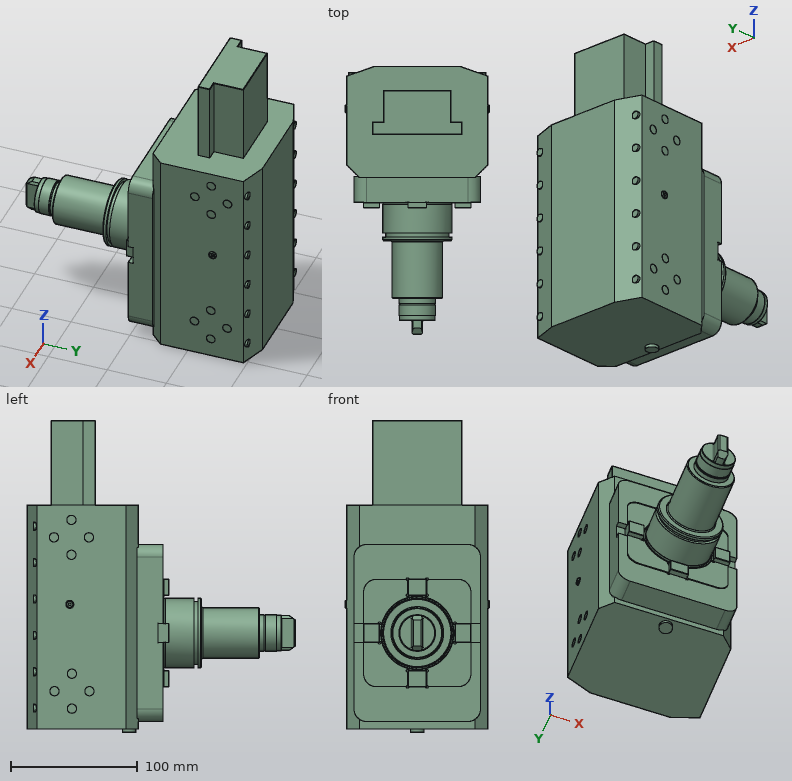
import cadquery as cq

EMBED = 1.0

BODY_WIDTH = 111.6
BODY_DEPTH = 88.0
BODY_HEIGHT = 177.0
BODY_BOTTOM = -76.0
BODY_TOP = BODY_BOTTOM + BODY_HEIGHT
FRONT_CHAMFER = 10.0
REAR_SLOPE_WIDTH = 22.0
REAR_SLOPE_DEPTH = 7.8

SHANK_HEIGHT = 67.0
SHANK_FLANGE_WIDTH = 71.0
SHANK_STEM_WIDTH = 53.0
SHANK_REAR = BODY_DEPTH - 19.0
SHANK_STEM_DEPTH = 25.0
SHANK_FLANGE_DEPTH = 10.0
SHANK_CHAMFER = 0.4

PLATE_WIDTH = 100.0
PLATE_HEIGHT = 140.0
PLATE_THICKNESS = 19.5
PLATE_RADIUS = 10.0
PAD_SIZE = 84.8
PAD_RADIUS = 10.0
PAD_THICKNESS = 0.7
PAD_FRONT = PLATE_THICKNESS + PAD_THICKNESS

KEY_WIDTH = 15.0
KEY_INNER = 29.8
KEY_OUTER = 42.6
KEY_FRONT = 24.0
KEY_CHAMFER = 0.4
SLOT_WIDTH = 15.3
SLOT_FLOOR = 15.3
RELIEF_DIAMETER = 2.1

BOSS_DIAMETER = 55.0
NECK_DIAMETER = 54.6
CLEARANCE_DIAMETER = 58.0
CLEARANCE_DEPTH = 0.7
CLEARANCE_CHAMFER = 0.5
GROOVE_DIAMETER = 50.2
SHAFT_DIAMETER = 40.0
TIP_DIAMETER = 29.0
TIP_GROOVE_DIAMETER = 28.0
TIP_NOSE_DIAMETER = 28.4
NECK_END = 21.4
BOSS_END = 43.9
GROOVE_END = 47.0
FLANGE_END = 50.0
SHAFT_END = 95.6
TIP_GROOVE_START = 99.4
TIP_GROOVE_END = 100.6
TIP_STEP = 109.2
TIP_END = 113.0
FLANGE_CHAMFER = 0.9
SHAFT_ROOT_CONE = 0.9
SHAFT_CHAMFER = 0.7
TIP_CHAMFER = 0.4

TONGUE_END = 124.0
TONGUE_WIDTH = 8.5
TONGUE_HEIGHT = 28.0
TONGUE_ROOT_FILLET = 0.8
TONGUE_SIDE_HEIGHT = 22.8
TONGUE_EDGE_WIDTH = 6.0
TONGUE_NOSE_LENGTH = 5.2
TONGUE_NOSE_HEIGHT = 20.8
TONGUE_NOSE_CHAMFER = 1.2

PLUG_DIAMETER = 7.3
PLUG_DEPTH = 0.2
PLUG_OFFSET = 13.8
PLUG_UPPER = (BODY_DEPTH - 35.0, BODY_TOP - 25.4)
PLUG_LOWER = (BODY_DEPTH - 35.4, BODY_BOTTOM + 30.0)
SIDE_PIN_DIAMETER = 6.37
SIDE_PIN_HEIGHT = 1.5
SIDE_PIN_CHAMFER = 0.8
SIDE_PIN_BORE = 2.1
SIDE_PIN_Y = BODY_DEPTH - 33.7
SIDE_PIN_Z = 22.7
SCREW_DIAMETER = 6.37
SCREW_X = 51.0
SCREW_REAR = BODY_DEPTH - 5.1
SCREW_LENGTH = 10.0
SCREW_PITCH = 28.75
SCREW_COUNT = 6
BOTTOM_PIN_DIAMETER = 10.8
BOTTOM_PIN_HEIGHT = 2.47
BOTTOM_PIN_Y = 7.4


def front_cylinder(diameter, start, end):
    """Cylinder on the spindle axis; start and end are distances in front of the housing."""
    return cq.Workplane("XZ").workplane(offset=start).circle(diameter / 2).extrude(end - start)


def front_block(width, height, start, end):
    """Block centred on the spindle axis, placed like front_cylinder."""
    return cq.Workplane("XZ").workplane(offset=start).rect(width, height).extrude(end - start)


def make_housing():
    half = BODY_WIDTH / 2
    right_side = [
        (half - FRONT_CHAMFER, 0),
        (half, FRONT_CHAMFER),
        (half, BODY_DEPTH - REAR_SLOPE_DEPTH),
        (half - REAR_SLOPE_WIDTH, BODY_DEPTH),
    ]
    left_side = [(-x, y) for x, y in reversed(right_side)]
    outline = cq.Workplane("XY").workplane(offset=BODY_BOTTOM).polyline(right_side + left_side).close()
    return outline.extrude(BODY_HEIGHT)


def make_shank():
    total = SHANK_STEM_DEPTH + SHANK_FLANGE_DEPTH
    base = cq.Workplane("XY").workplane(offset=BODY_TOP - EMBED).center(0, SHANK_REAR - total)
    flange = base.rect(SHANK_FLANGE_WIDTH, 2 * SHANK_FLANGE_DEPTH).extrude(SHANK_HEIGHT + EMBED)
    stem = base.rect(SHANK_STEM_WIDTH, 2 * total).extrude(SHANK_HEIGHT + EMBED)
    front_space = base.rect(2 * SHANK_FLANGE_WIDTH, 2 * total).extrude(SHANK_HEIGHT + EMBED)
    shank = flange.union(stem).cut(front_space.translate((0, -total, 0)))
    return shank.faces("<Y").edges("|Z").chamfer(SHANK_CHAMFER).faces(">Z").chamfer(SHANK_CHAMFER)


def make_front_plate():
    plate = front_block(PLATE_WIDTH, PLATE_HEIGHT, -EMBED, PLATE_THICKNESS)
    plate = plate.edges("|Y").fillet(PLATE_RADIUS)
    pad = front_block(PAD_SIZE, PAD_SIZE, PLATE_THICKNESS - EMBED, PAD_FRONT)
    plate = plate.union(pad.edges("|Y").fillet(PAD_RADIUS))
    clearance = front_cylinder(CLEARANCE_DIAMETER, PAD_FRONT - CLEARANCE_DEPTH, PAD_FRONT)
    return plate.cut(clearance.faces(">Y").chamfer(CLEARANCE_CHAMFER))


def radial_block(width, inner, outer, start, end):
    """Block lying along +X from the inner to the outer radius."""
    return front_block(outer - inner, width, start, end).translate(((inner + outer) / 2, 0, 0))


def make_slot(outer):
    """Key slot along +X with a relief hole at each corner."""
    slot = radial_block(SLOT_WIDTH, KEY_INNER, outer, SLOT_FLOOR, PAD_FRONT)
    half = SLOT_WIDTH / 2
    corners = [(x, z) for x in (KEY_INNER, outer) for z in (-half, half)]
    relief = cq.Workplane("XZ").workplane(offset=SLOT_FLOOR).pushPoints(corners)
    return slot.union(relief.circle(RELIEF_DIAMETER / 2).extrude(PAD_FRONT - SLOT_FLOOR))


def about_spindle(shape, angle):
    return shape.rotate((0, 0, 0), (0, 1, 0), angle)


def add_keys(part):
    key = radial_block(KEY_WIDTH, KEY_INNER, KEY_OUTER, SLOT_FLOOR - EMBED, KEY_FRONT)
    key = key.faces("<Y").chamfer(KEY_CHAMFER)
    open_slot = make_slot(PLATE_WIDTH / 2 + RELIEF_DIAMETER)
    closed_slot = make_slot(KEY_OUTER)
    for angle, slot in ((0, open_slot), (90, closed_slot), (180, open_slot), (270, closed_slot)):
        part = part.cut(about_spindle(slot, angle)).union(about_spindle(key, angle))
    return part


def make_spindle():
    spindle = front_cylinder(NECK_DIAMETER, SLOT_FLOOR - EMBED, NECK_END)
    spindle = spindle.union(front_cylinder(BOSS_DIAMETER, NECK_END, BOSS_END))
    spindle = spindle.union(front_cylinder(GROOVE_DIAMETER, BOSS_END, GROOVE_END))
    flange = front_cylinder(BOSS_DIAMETER, GROOVE_END, FLANGE_END)
    spindle = spindle.union(flange.faces("<Y").chamfer(FLANGE_CHAMFER))
    shaft = front_cylinder(SHAFT_DIAMETER, FLANGE_END, SHAFT_END)
    spindle = spindle.union(shaft.faces("<Y").chamfer(SHAFT_CHAMFER))
    root_diameter = SHAFT_DIAMETER + 2 * SHAFT_ROOT_CONE
    root = front_cylinder(root_diameter, FLANGE_END - EMBED, FLANGE_END + SHAFT_ROOT_CONE)
    spindle = spindle.union(root.faces("<Y").chamfer(SHAFT_ROOT_CONE))
    spindle = spindle.union(front_cylinder(TIP_DIAMETER, SHAFT_END, TIP_GROOVE_START))
    spindle = spindle.union(front_cylinder(TIP_GROOVE_DIAMETER, TIP_GROOVE_START, TIP_GROOVE_END))
    spindle = spindle.union(front_cylinder(TIP_DIAMETER, TIP_GROOVE_END, TIP_STEP))
    nose = front_cylinder(TIP_NOSE_DIAMETER, TIP_STEP, TIP_END)
    return spindle.union(nose.faces("<Y").chamfer(TIP_CHAMFER))


def make_tongue():
    """Flat driving tongue with bevelled edges, a tapered nose and a filleted root."""
    right_corner = [
        (TONGUE_WIDTH / 2, TONGUE_SIDE_HEIGHT / 2),
        (TONGUE_EDGE_WIDTH / 2, TONGUE_HEIGHT / 2),
    ]
    upper = right_corner + [(-x, z) for x, z in reversed(right_corner)]
    lower = [(-x, -z) for x, z in upper]
    section = cq.Workplane("XZ").workplane(offset=TIP_END - EMBED).polyline(upper + lower).close()
    tongue = section.extrude(TONGUE_END - TIP_END + EMBED)

    nose_start = -(TONGUE_END - TONGUE_NOSE_LENGTH)
    side_profile = [
        (0, TONGUE_HEIGHT / 2),
        (nose_start, TONGUE_HEIGHT / 2),
        (-TONGUE_END, TONGUE_NOSE_HEIGHT / 2),
        (-TONGUE_END, -TONGUE_NOSE_HEIGHT / 2),
        (nose_start, -TONGUE_HEIGHT / 2),
        (0, -TONGUE_HEIGHT / 2),
    ]
    top_profile = [
        (TONGUE_WIDTH / 2, 0),
        (TONGUE_WIDTH / 2, -TONGUE_END + TONGUE_NOSE_CHAMFER),
        (TONGUE_WIDTH / 2 - TONGUE_NOSE_CHAMFER, -TONGUE_END),
    ]
    top_profile += [(-x, y) for x, y in reversed(top_profile)]
    side_cut = cq.Workplane("YZ").polyline(side_profile).close().extrude(TONGUE_WIDTH, both=True)
    top_cut = cq.Workplane("XY").polyline(top_profile).close().extrude(TONGUE_HEIGHT, both=True)
    tongue = tongue.intersect(side_cut).intersect(top_cut)

    root_width = TONGUE_WIDTH + 2 * TONGUE_ROOT_FILLET
    root = front_block(root_width, TONGUE_SIDE_HEIGHT, TIP_END - EMBED, TIP_END + TONGUE_ROOT_FILLET)
    for side in (-1, 1):
        hollow = cq.Workplane("XY").center(side * root_width / 2, -TIP_END - TONGUE_ROOT_FILLET)
        root = root.cut(hollow.circle(TONGUE_ROOT_FILLET).extrude(TONGUE_HEIGHT, both=True))
    round_bar = front_cylinder(TONGUE_HEIGHT, TIP_END - EMBED, TONGUE_END)
    return tongue.union(root).intersect(round_bar)


def cut_plug_marks(part):
    """Two diamonds of shallow round recesses on each side of the housing."""
    spots = []
    for y, z in (PLUG_UPPER, PLUG_LOWER):
        spots += [(y - PLUG_OFFSET, z), (y + PLUG_OFFSET, z), (y, z - PLUG_OFFSET), (y, z + PLUG_OFFSET)]
    marks = cq.Workplane("YZ").workplane(offset=BODY_WIDTH / 2 - PLUG_DEPTH).pushPoints(spots)
    marks = marks.circle(PLUG_DIAMETER / 2).extrude(PLUG_DEPTH)
    return part.cut(marks).cut(marks.mirror("YZ"))


def make_side_pins():
    pin = cq.Workplane("YZ").workplane(offset=BODY_WIDTH / 2 - EMBED).center(SIDE_PIN_Y, SIDE_PIN_Z)
    pin = pin.circle(SIDE_PIN_DIAMETER / 2).extrude(SIDE_PIN_HEIGHT + EMBED)
    pin = pin.faces(">X").chamfer(SIDE_PIN_CHAMFER)
    pin = pin.faces(">X").workplane(origin=(0, SIDE_PIN_Y, SIDE_PIN_Z)).hole(SIDE_PIN_BORE, SIDE_PIN_HEIGHT)
    return pin.union(pin.mirror("YZ"))


def make_rear_screws():
    middle = (BODY_BOTTOM + BODY_TOP) / 2
    heights = [middle + (i - (SCREW_COUNT - 1) / 2) * SCREW_PITCH for i in range(SCREW_COUNT)]
    spots = [(x, z) for x in (-SCREW_X, SCREW_X) for z in heights]
    screws = cq.Workplane("XZ").workplane(offset=-SCREW_REAR).pushPoints(spots)
    return screws.circle(SCREW_DIAMETER / 2).extrude(SCREW_LENGTH)


def make_bottom_pin():
    pin = cq.Workplane("XY").workplane(offset=BODY_BOTTOM - BOTTOM_PIN_HEIGHT).center(0, BOTTOM_PIN_Y)
    return pin.circle(BOTTOM_PIN_DIAMETER / 2).extrude(BOTTOM_PIN_HEIGHT + EMBED)


housing = cut_plug_marks(make_housing()).union(make_shank())
housing = housing.union(make_side_pins()).union(make_rear_screws()).union(make_bottom_pin())
front = add_keys(make_front_plate()).union(make_spindle()).union(make_tongue())
result = housing.union(front)